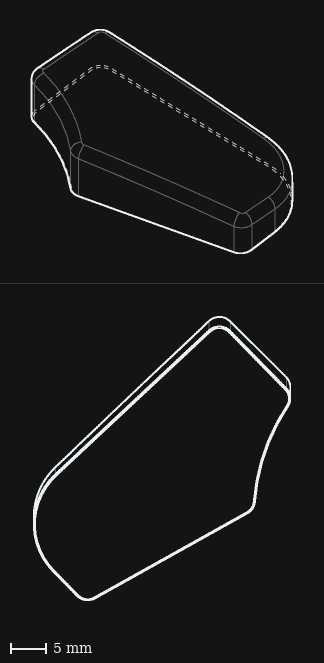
import cadquery as cq
import math

length = 42.4
right_side_depth = 16.58
slant_angle = 14.0
scoop_x, scoop_y = -5.15, -44.5
scoop_radius = 29.55
corner_radius = 2.1
big_corner_radius = 10.0

crest_height = 9.15
crown_middle_run, crown_middle_drop = 16.95, 1.5
crown_end_run, crown_end_drop = 33.9, 3.75

top_round = 1.5
base_chamfer = 0.2
cut_clearance = 0.42
stock_height = crest_height + cut_clearance


def scoop_y_at(x):
    """Y of the scoop wall at a given X."""
    return scoop_y + math.sqrt(scoop_radius**2 - (x - scoop_x)**2)


def scoop_slant_crossing():
    """Sharp front tip, where the slanted wall meets the scoop circle."""
    direction_x = -math.cos(math.radians(slant_angle))
    direction_y = -math.sin(math.radians(slant_angle))
    offset_x = length - scoop_x
    offset_y = -right_side_depth - scoop_y
    along = offset_x * direction_x + offset_y * direction_y
    clearance = offset_x**2 + offset_y**2 - scoop_radius**2
    travel = -along - math.sqrt(along**2 - clearance)
    return length + travel * direction_x, -right_side_depth + travel * direction_y


def make_block():
    """Upright prism with rounded vertical corners."""
    tip = scoop_slant_crossing()
    scoop_middle_x = tip[0] / 2
    block = (
        cq.Workplane("XY")
        .moveTo(0, 0)
        .lineTo(length, 0)
        .lineTo(length, -right_side_depth)
        .lineTo(*tip)
        .threePointArc((scoop_middle_x, scoop_y_at(scoop_middle_x)), (0, scoop_y_at(0)))
        .close()
        .extrude(stock_height)
    )
    big_corner = cq.selectors.NearestToPointSelector((length, 0, stock_height / 2))
    block = block.edges("|Z").edges(big_corner).fillet(big_corner_radius)
    small_corners = [(0, 0), (length, -right_side_depth), tip, (0, scoop_y_at(0))]
    for x, y in small_corners:
        corner = cq.selectors.NearestToPointSelector((x, y, stock_height / 2))
        block = block.edges("|Z").edges(corner).fillet(corner_radius)
    return block


def make_crown_cutter():
    """Ring above the crowned top, revolved about the scoop axis."""
    inner_radius = scoop_radius - corner_radius
    outer_radius = scoop_radius + crown_end_run
    middle = (scoop_radius + crown_middle_run, crest_height - crown_middle_drop)
    end = (outer_radius, crest_height - crown_end_drop)
    ceiling = stock_height + cut_clearance
    return (
        cq.Workplane("XZ", origin=(scoop_x, scoop_y, 0))
        .moveTo(inner_radius, crest_height)
        .lineTo(scoop_radius, crest_height)
        .threePointArc(middle, end)
        .lineTo(outer_radius, ceiling)
        .lineTo(inner_radius, ceiling)
        .close()
        .revolve(360, (0, 0, 0), (0, 1, 0))
    )


body = make_block().cut(make_crown_cutter())
body = body.faces(">Z").edges().fillet(top_round)
result = body.faces("<Z").edges().chamfer(base_chamfer)